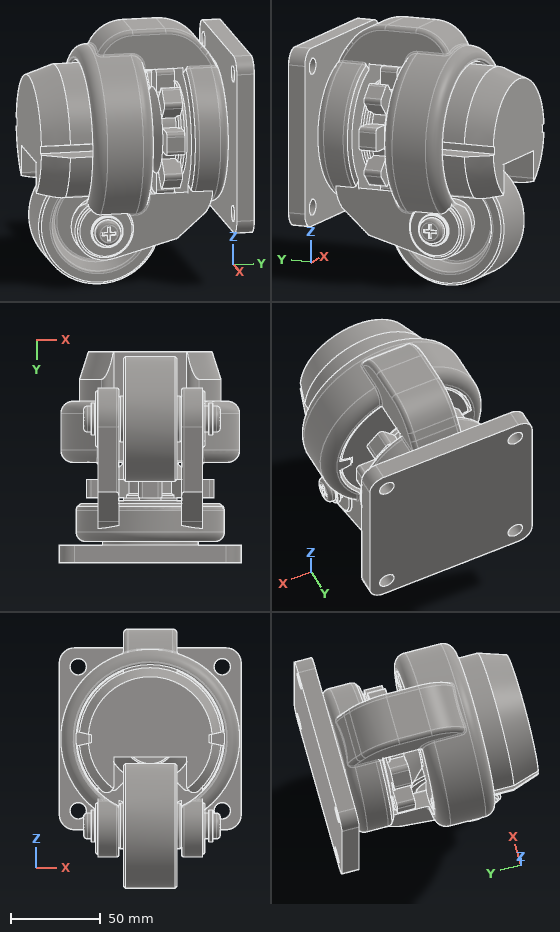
import cadquery as cq
import math


PLATE_SIDE = 101.2
PLATE_THICKNESS = 10.0
PLATE_CORNER = 8.7
PLATE_HOLE_DIAMETER = 9.0
PLATE_HOLE_PITCH = 80.0
HUB_RADIUS = 26.7
STEM_RADIUS = 6.0

BACK_RING_RADIUS = 41.2
BACK_RING_START = 11.8
BACK_RING_END = 33.2
BACK_RING_BACK_FILLET = 5.3
BACK_RING_ROUND_START = 29.1
BACK_RING_ROUND_DROP = 0.6
BACK_RING_LIP_START = 31.5
BACK_RING_FACE_RADIUS = 38.4
FRONT_RING_RADIUS = 49.8
FRONT_RING_START = 55.8
FRONT_RING_END = 90.0
FRONT_RING_FILLET = 6.9
CAVITY_RADIUS = 41.2
RIM_FILLET = 1.2
JOINT_FILLET = 1.2
EYE_FILLET = 1.3
EDGE_MARGIN = 0.1
JOINT_BASE = 34.6
ARM_JOINT_DEPTH_END = 67.8
ARM_JOINT_LOW = -41.8
ARM_JOINT_HIGH = -27.4
KEY_INNER = 34.2
KEY_SETBACK = 4.3
HUB_LIP = 1.5
HUB_END = BACK_RING_END + HUB_LIP

BOW_WIDTH = 30.0
BOW_FILLET = 2.6
BOW_TOP = 61.0
BOW_FLAT_START = 42.8
BOW_FLAT_END = 61.6
BOW_FRONT_RADIUS = 21.5
BOW_CROWN_RADIUS = 26.8
BOW_CROWN_ANGLE = 52.5
BOW_SHOULDER_LENGTH = 5.0
BOW_BACK_RADIUS = 34.6
BOW_BASE = 21.6

ARM_INNER = 17.5
ARM_OUTER = 29.1
ARM_EYE_RADIUS = 17.3
ARM_TOP = -21.6
ARM_BACK = 19.2
ARM_BACK_LOW = -29.3
ARM_BACK_BEND = (20.2, -35.5)
ARM_BACK_END = (23.1, -41.2)
ARM_KNEE = (39.4, -55.5)
PAD_FACE = 30.5
PAD_RADIUS = 15.9
PAD_CHAMFER = 1.0

OVERALL_HEIGHT = 144.2
WHEEL_RADIUS = 34.8
WHEEL_WIDTH = 30.0
WHEEL_BOTTOM = BOW_TOP - OVERALL_HEIGHT
WHEEL_DEPTH = 80.0
WHEEL_HEIGHT = WHEEL_BOTTOM + WHEEL_RADIUS
WHEEL_EDGE_CHAMFER = 1.3
WHEEL_RECESS_OUTER = 27.5
WHEEL_RECESS_INNER = 23.7
WHEEL_RECESS_DEPTH = 10.1
WHEEL_RECESS_FILLET = 1.5
WHEEL_HUB_RADIUS = 12.7
WHEEL_HUB_CHAMFER = 0.9
WHEEL_SLOT_START = 43.3
EYE_CLEARANCE = 1.5
CLEARANCE_END = WHEEL_DEPTH + ARM_EYE_RADIUS + EYE_CLEARANCE

AXLE_RADIUS = 7.2
AXLE_SHOULDER = 32.3
WASHER_RADIUS = 9.0
WASHER_THICKNESS = 2.6
WASHER_CHAMFER = 0.5
HEAD_HEIGHT = 4.0
HEAD_FILLET = 2.2
CROSS_LENGTH = 7.8
CROSS_WIDTH = 1.7
CROSS_DEPTH = 1.5
THREAD_RADIUS = 4.3
THREAD_LENGTH = 14.4

STAR_START = 36.2
STAR_END = 46.5
STAR_TIP = 35.5
TOOTH_COUNT = 8
TOOTH_WIDTH = 13.3
TOOTH_FILLET = 2.5
TOOTH_ROOT_OVERLAP = 2.9
COLLAR_RADIUS = 26.2
COLLAR_END = 37.6
CORE_RADIUS = 24.1
CORE_START = 38.7
CONE_SMALL_RADIUS = 14.7
CONE_END = STAR_END + CORE_RADIUS - CONE_SMALL_RADIUS
TIP_RADIUS = 13.8
TIP_LENGTH = 0.9
TIP_END = CONE_END + TIP_LENGTH

FOOT_RADIUS = 39.5
FOOT_TIP_RADIUS = 34.5
FOOT_TAPER_START = 102.1
FOOT_END = 117.5
FOOT_SLOT_WIDTH = 40.4
FOOT_SLOT_TOP = -10.2
FOOT_SLOT_FILLET = 4.0
KEYWAY_FLOOR = 32.6
KEYWAY_FLOOR_WIDTH = 4.2
KEYWAY_MOUTH_WIDTH = 8.1
KEYWAY_MOUTH = 41.0
KEY_ROOT_DEPTH = 1.5
KEY_ROOT = CAVITY_RADIUS + KEY_ROOT_DEPTH


def disc(radius, start, end):
    """Cylinder on the swivel axis between two depths."""
    return cq.Workplane("XZ", origin=(0, -start, 0)).circle(radius).extrude(end - start)


def side_outline(start_x):
    """Plane square to X in which outlines are drawn as (Y, Z)."""
    return cq.Workplane("YZ", origin=(start_x, 0, 0))


def axle_disc(radius, start_x, end_x):
    """Cylinder on the wheel axis between two X places."""
    plane = cq.Workplane("YZ", origin=(start_x, -WHEEL_DEPTH, WHEEL_HEIGHT))
    return plane.circle(radius).extrude(end_x - start_x)


def at(point):
    """Turns (depth, height) into (Y, Z)."""
    depth, height = point
    return (-depth, height)


def along_arc(center, radius, angle):
    """Point of a circle at an angle in degrees from straight up, positive toward the front."""
    turn = math.radians(angle)
    return (center[0] + radius * math.sin(turn), center[1] + radius * math.cos(turn))


def wedge(inner_x, start, end):
    """Bar along Y on the +X side, widening from inner_x outward with the keyway flanks."""
    spread = (KEYWAY_MOUTH_WIDTH - KEYWAY_FLOOR_WIDTH) / (KEYWAY_MOUTH - KEYWAY_FLOOR)
    inner_width = KEYWAY_FLOOR_WIDTH + spread * (inner_x - KEYWAY_FLOOR)
    outer_width = KEYWAY_FLOOR_WIDTH + spread * (KEY_ROOT - KEYWAY_FLOOR)
    outline = [
        (inner_x, inner_width / 2),
        (KEY_ROOT, outer_width / 2),
        (KEY_ROOT, -outer_width / 2),
        (inner_x, -inner_width / 2),
    ]
    return cq.Workplane("XZ", origin=(0, -start, 0)).polyline(outline).close().extrude(end - start)


def make_plate():
    plate = cq.Workplane("XZ").rect(PLATE_SIDE, PLATE_SIDE).extrude(PLATE_THICKNESS)
    plate = plate.edges("|Y").fillet(PLATE_CORNER)
    holes = (
        cq.Workplane("XZ")
        .rect(PLATE_HOLE_PITCH, PLATE_HOLE_PITCH, forConstruction=True)
        .vertices()
        .circle(PLATE_HOLE_DIAMETER / 2)
        .extrude(PLATE_THICKNESS)
    )
    hub = disc(HUB_RADIUS, PLATE_THICKNESS, HUB_END)
    stem = disc(STEM_RADIUS, HUB_END, TIP_END)
    return plate.cut(holes).union(hub).union(stem)


def make_bow():
    """Arched bar that joins the two rings above the swivel axis."""
    front_center = (BOW_FLAT_END, BOW_TOP - BOW_FRONT_RADIUS)
    front_mid = along_arc(front_center, BOW_FRONT_RADIUS, 45)
    front_end = along_arc(front_center, BOW_FRONT_RADIUS, 90)
    crown_center = (BOW_FLAT_START, BOW_TOP - BOW_CROWN_RADIUS)
    crown_mid = along_arc(crown_center, BOW_CROWN_RADIUS, -BOW_CROWN_ANGLE / 2)
    crown_end = along_arc(crown_center, BOW_CROWN_RADIUS, -BOW_CROWN_ANGLE)
    shoulder = math.radians(BOW_CROWN_ANGLE)
    shoulder_run = (BOW_SHOULDER_LENGTH * math.cos(shoulder), BOW_SHOULDER_LENGTH * math.sin(shoulder))
    back_start = (crown_end[0] - shoulder_run[0], crown_end[1] - shoulder_run[1])
    back_center = along_arc(back_start, BOW_BACK_RADIUS, 180 - BOW_CROWN_ANGLE)
    back_mid = along_arc(back_center, BOW_BACK_RADIUS, -(BOW_CROWN_ANGLE + 90) / 2)
    back_end = along_arc(back_center, BOW_BACK_RADIUS, -90)
    bow = (
        side_outline(-BOW_WIDTH / 2)
        .moveTo(*at((front_end[0], BOW_BASE)))
        .lineTo(*at(front_end))
        .threePointArc(at(front_mid), at((BOW_FLAT_END, BOW_TOP)))
        .lineTo(*at((BOW_FLAT_START, BOW_TOP)))
        .threePointArc(at(crown_mid), at(crown_end))
        .lineTo(*at(back_start))
        .threePointArc(at(back_mid), at(back_end))
        .lineTo(*at((back_end[0], BOW_BASE)))
        .close()
        .extrude(BOW_WIDTH)
    )
    return bow.faces("<X or >X").edges("not <Z").fillet(BOW_FILLET)


def make_arm(inner_x):
    """Arm on the +X side, from inner_x to its outer face, with the wheel-axle eye."""
    knee_to_eye = (WHEEL_DEPTH - ARM_KNEE[0], WHEEL_HEIGHT - ARM_KNEE[1])
    distance = math.hypot(*knee_to_eye)
    angle = math.atan2(knee_to_eye[1], knee_to_eye[0]) - math.asin(ARM_EYE_RADIUS / distance)
    tangent_length = math.sqrt(distance**2 - ARM_EYE_RADIUS**2)
    tangent_point = (
        ARM_KNEE[0] + tangent_length * math.cos(angle),
        ARM_KNEE[1] + tangent_length * math.sin(angle),
    )
    arm = (
        side_outline(inner_x)
        .moveTo(*at((ARM_BACK, ARM_TOP)))
        .lineTo(*at((ARM_BACK, ARM_BACK_LOW)))
        .threePointArc(at(ARM_BACK_BEND), at(ARM_BACK_END))
        .lineTo(*at(ARM_KNEE))
        .lineTo(*at(tangent_point))
        .lineTo(*at((WHEEL_DEPTH, WHEEL_HEIGHT)))
        .lineTo(*at((WHEEL_DEPTH, ARM_TOP)))
        .close()
        .extrude(ARM_OUTER - inner_x)
    )
    eye = axle_disc(ARM_EYE_RADIUS, inner_x, ARM_OUTER)
    pad = axle_disc(PAD_RADIUS, ARM_OUTER, PAD_FACE).faces(">X").edges().chamfer(PAD_CHAMFER)
    return arm.union(eye).union(pad)


def make_back_ring():
    """Closed ring behind the star nut, its front edge rounded and then beveled."""
    round_middle = (BACK_RING_ROUND_START + BACK_RING_LIP_START) / 2
    profile = (
        cq.Workplane("XY")
        .moveTo(0, -BACK_RING_START)
        .lineTo(BACK_RING_RADIUS, -BACK_RING_START)
        .lineTo(BACK_RING_RADIUS, -BACK_RING_ROUND_START)
        .threePointArc(
            (BACK_RING_RADIUS - BACK_RING_ROUND_DROP / 4, -round_middle),
            (BACK_RING_RADIUS - BACK_RING_ROUND_DROP, -BACK_RING_LIP_START),
        )
        .lineTo(BACK_RING_FACE_RADIUS, -BACK_RING_END)
        .lineTo(0, -BACK_RING_END)
        .close()
    )
    ring = profile.revolve(360, (0, 0, 0), (0, 1, 0))
    return ring.faces(">Y").edges().fillet(BACK_RING_BACK_FILLET)


def region(x_range, depth_range, height_range):
    """Selector for edges whose centers lie in a box."""
    near = (x_range[0], -depth_range[1], height_range[0])
    far = (x_range[1], -depth_range[0], height_range[1])
    return cq.selectors.BoxSelector(near, far)


def soften_joints(housing):
    """Rounds the joints of bow and arms with the rings, the bore rim and the arm eyes inside."""
    bow_half = BOW_WIDTH / 2 + EDGE_MARGIN
    bow_x = (-bow_half, bow_half)
    ring_back = FRONT_RING_START - EDGE_MARGIN
    bow_front = region(bow_x, (ring_back, FRONT_RING_END), (JOINT_BASE, FRONT_RING_RADIUS))
    bow_back = region(bow_x, (BACK_RING_START, BACK_RING_LIP_START), (JOINT_BASE, BACK_RING_RADIUS))
    housing = housing.edges(bow_front).fillet(JOINT_FILLET)
    housing = housing.edges(bow_back).fillet(JOINT_FILLET)

    for side in (-1, 1):
        outer_x = sorted((side * (ARM_OUTER - EDGE_MARGIN), side * (ARM_OUTER + EDGE_MARGIN)))
        joint = region(outer_x, (ring_back, ARM_JOINT_DEPTH_END), (ARM_JOINT_LOW, ARM_JOINT_HIGH))
        housing = housing.edges(joint).fillet(JOINT_FILLET)

    rim = region(
        (-CAVITY_RADIUS, CAVITY_RADIUS),
        (FRONT_RING_END - 2 * EDGE_MARGIN, CLEARANCE_END),
        (WHEEL_HEIGHT + ARM_EYE_RADIUS / 2, CAVITY_RADIUS),
    )
    housing = housing.edges(rim).fillet(RIM_FILLET)
    for side in (-1, 1):
        inner_x = sorted((side * (ARM_INNER - EDGE_MARGIN), side * (ARM_INNER + EDGE_MARGIN)))
        eye = region(inner_x, (WHEEL_SLOT_START, CLEARANCE_END), (WHEEL_BOTTOM, 0.0))
        housing = housing.edges(eye).fillet(EYE_FILLET)
    return housing


def make_housing():
    back_ring = make_back_ring()
    front_ring = disc(FRONT_RING_RADIUS, FRONT_RING_START, FRONT_RING_END)
    front_ring = front_ring.edges().fillet(FRONT_RING_FILLET)

    arm = make_arm(ARM_INNER)
    housing = back_ring.union(front_ring).union(make_bow())
    housing = housing.union(arm).union(arm.mirror("YZ"))

    wheel_slot = cq.Workplane("XY").box(
        2 * ARM_INNER, CLEARANCE_END - WHEEL_SLOT_START, -WHEEL_BOTTOM, centered=(True, False, False)
    ).translate((0, -CLEARANCE_END, WHEEL_BOTTOM))
    cavity = disc(CAVITY_RADIUS, BACK_RING_END, CLEARANCE_END)
    hub_bore = disc(HUB_RADIUS, BACK_RING_START, BACK_RING_END)
    axle_bore = axle_disc(AXLE_RADIUS, -PAD_FACE, PAD_FACE)
    key = wedge(KEY_INNER, FRONT_RING_START, FRONT_RING_END - KEY_SETBACK)
    housing = housing.cut(wheel_slot).cut(cavity)
    housing = soften_joints(housing)
    return housing.union(key).union(key.mirror("YZ")).cut(hub_bore).cut(axle_bore)


def make_wheel():
    half = WHEEL_WIDTH / 2
    floor = half - WHEEL_RECESS_DEPTH
    right_side = [
        (ARM_INNER, AXLE_RADIUS),
        (ARM_INNER, WHEEL_HUB_RADIUS - WHEEL_HUB_CHAMFER),
        (ARM_INNER - WHEEL_HUB_CHAMFER, WHEEL_HUB_RADIUS),
        (floor, WHEEL_HUB_RADIUS),
        (floor, WHEEL_RECESS_INNER),
        (half, WHEEL_RECESS_OUTER),
        (half, WHEEL_RADIUS - WHEEL_EDGE_CHAMFER),
        (half - WHEEL_EDGE_CHAMFER, WHEEL_RADIUS),
    ]
    left_side = [(-x, radius) for x, radius in reversed(right_side)]
    profile = cq.Workplane("XY").polyline(right_side + left_side).close()
    wheel = profile.revolve(360, (0, 0, 0), (1, 0, 0))
    smallest_rim = WHEEL_RECESS_INNER - EDGE_MARGIN
    largest_rim = WHEEL_RECESS_OUTER + EDGE_MARGIN
    rims = wheel.edges("%CIRCLE").filter(lambda edge: smallest_rim < edge.radius() < largest_rim)
    return rims.fillet(WHEEL_RECESS_FILLET).translate((0, -WHEEL_DEPTH, WHEEL_HEIGHT))


def make_head(seat_x):
    """Round screw head facing +X with a cross recess, seated at seat_x."""
    end_x = seat_x + HEAD_HEIGHT
    head = axle_disc(AXLE_RADIUS, seat_x, end_x).faces(">X").edges().fillet(HEAD_FILLET)
    plane = cq.Workplane("YZ", origin=(end_x - CROSS_DEPTH, -WHEEL_DEPTH, WHEEL_HEIGHT))
    cross = plane.rect(CROSS_LENGTH, CROSS_WIDTH).extrude(CROSS_DEPTH)
    cross = cross.union(plane.rect(CROSS_WIDTH, CROSS_LENGTH).extrude(CROSS_DEPTH))
    return head.cut(cross)


def make_axle():
    """Barrel through wheel and arms, with a head at +X and a screw hole at -X."""
    seat = AXLE_SHOULDER + WASHER_THICKNESS
    barrel = axle_disc(AXLE_RADIUS, -PAD_FACE, seat)
    screw_hole = axle_disc(THREAD_RADIUS, -PAD_FACE, THREAD_LENGTH - PAD_FACE)
    return barrel.union(make_head(seat)).cut(screw_hole)


def make_screw():
    """Screw that closes the -X end of the axle."""
    seat = PAD_FACE + WASHER_THICKNESS
    thread = axle_disc(THREAD_RADIUS, PAD_FACE - THREAD_LENGTH, seat)
    return make_head(seat).union(thread).mirror("YZ")


def make_washer(start_x, bore_radius):
    end_x = start_x + WASHER_THICKNESS
    washer = axle_disc(WASHER_RADIUS, start_x, end_x).edges().chamfer(WASHER_CHAMFER)
    return washer.cut(axle_disc(bore_radius, start_x, end_x))


def make_star_nut():
    profile = [
        (STEM_RADIUS, -STAR_START),
        (COLLAR_RADIUS, -STAR_START),
        (COLLAR_RADIUS, -COLLAR_END),
        (CORE_RADIUS, -CORE_START),
        (CORE_RADIUS, -STAR_END),
        (CONE_SMALL_RADIUS, -CONE_END),
        (TIP_RADIUS, -CONE_END),
        (TIP_RADIUS, -TIP_END),
        (STEM_RADIUS, -TIP_END),
    ]
    star = cq.Workplane("XY").polyline(profile).close().revolve(360, (0, 0, 0), (0, 1, 0))
    tooth_pair = (
        cq.Workplane("XZ", origin=(0, -STAR_START, 0))
        .rect(2 * STAR_TIP, TOOTH_WIDTH)
        .extrude(STAR_END - STAR_START)
        .edges("|Y")
        .fillet(TOOTH_FILLET)
        .cut(disc(CORE_RADIUS - TOOTH_ROOT_OVERLAP, STAR_START, STAR_END))
    )
    for number in range(TOOTH_COUNT // 2):
        star = star.union(tooth_pair.rotate((0, 0, 0), (0, 1, 0), number * 360 / TOOTH_COUNT))
    return star


def make_foot():
    length = FOOT_END - TIP_END
    foot = disc(FOOT_RADIUS, TIP_END, FOOT_END)
    slot = cq.Workplane("XY").box(
        FOOT_SLOT_WIDTH, length, FOOT_RADIUS, centered=(True, False, False)
    ).translate((0, -FOOT_END, FOOT_SLOT_TOP - FOOT_RADIUS))
    foot = foot.cut(slot).edges("|Y").edges("<Z").fillet(FOOT_SLOT_FILLET)
    tapered_profile = [
        (0, -TIP_END),
        (FOOT_RADIUS, -TIP_END),
        (FOOT_RADIUS, -FOOT_TAPER_START),
        (FOOT_TIP_RADIUS, -FOOT_END),
        (0, -FOOT_END),
    ]
    tapered = cq.Workplane("XY").polyline(tapered_profile).close().revolve(360, (0, 0, 0), (0, 1, 0))
    keyway = wedge(KEYWAY_FLOOR, TIP_END, FOOT_END)
    return foot.intersect(tapered).cut(keyway).cut(keyway.mirror("YZ"))


plate = make_plate()
housing = make_housing()
star_nut = make_star_nut()
foot = make_foot()
wheel = make_wheel()
axle = make_axle()
screw = make_screw()
axle_washer = make_washer(AXLE_SHOULDER, AXLE_RADIUS)
screw_washer = make_washer(PAD_FACE, THREAD_RADIUS).mirror("YZ")

bodies = [plate, housing, star_nut, foot, wheel, axle, screw, axle_washer, screw_washer]
result = cq.Compound.makeCompound([body.val() for body in bodies])